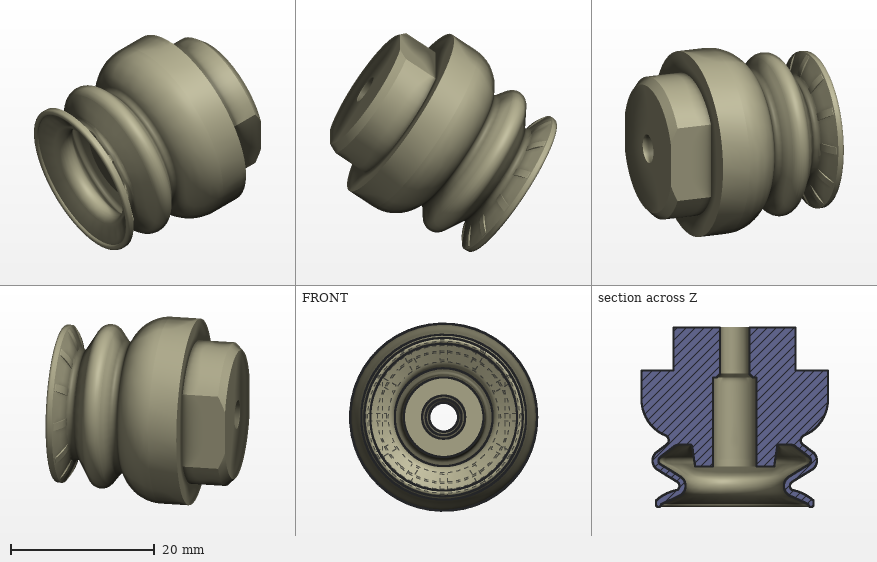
import cadquery as cq
import math


total_length = 25.0
body_back_y = 19.0
body_front_y = 15.0
body_radius = 13.0

boss_radius = 10.0
boss_chamfer = 1.0
wrench_width = 17.0

wall = 0.9
top_fold_round = 5.5
upper_groove_radius = 9.2
upper_groove_round = 0.7
middle_fold_radius = 11.46
middle_fold_round = 1.5
middle_fold_y = 6.47
lower_groove_radius = 7.7
lower_groove_round = 0.65
lower_groove_y = 2.95

lip_radius = 11.0
lip_edge_height = 0.95
rim_round = 0.4

rib_count = 12
rib_width = 1.05
rib_inner_point = (7.85, 2.47)
rib_crest_point = (9.63, 1.86)
rib_outer_point = (10.75, 1.13)
rib_root_depth = 0.3

cavity_floor_y = 8.7
floor_corner_round = 1.45

nozzle_y = 5.65
nozzle_tip_radius = 5.53
nozzle_base_radius = 5.9
nozzle_base_fillet = 0.47
bore_radius = 3.0
bore_floor_y = 18.0
bore_chamfer = 0.5
through_hole_radius = 2.0

top_fold_center = (body_radius - top_fold_round, body_front_y)
upper_groove_center_radius = upper_groove_radius + upper_groove_round
upper_groove_center = (
    upper_groove_center_radius,
    body_front_y - math.sqrt((top_fold_round + upper_groove_round) ** 2
                             - (upper_groove_center_radius - top_fold_center[0]) ** 2),
)
middle_fold_center = (middle_fold_radius - middle_fold_round, middle_fold_y)
lower_groove_center = (lower_groove_radius + lower_groove_round, lower_groove_y)

rim_crest = (lip_radius - rim_round, 0)
rim_inner_edge = (lip_radius - 2 * rim_round, rim_round)


def polar(center, radius, angle):
    """Point at the given angle on a circle."""
    return (center[0] + radius * math.cos(angle), center[1] + radius * math.sin(angle))


def direction(start, end):
    """Angle of the line from start to end."""
    return math.atan2(end[1] - start[1], end[0] - start[0])


def cross_tangent(center_a, radius_a, center_b, radius_b, side):
    """Ends of the line that touches two circles and crosses between them."""
    spread = math.acos((radius_a + radius_b) / math.dist(center_a, center_b))
    angle = direction(center_a, center_b) + side * spread
    return polar(center_a, radius_a, angle), polar(center_b, radius_b, angle + math.pi)


def point_tangent(point, center, radius):
    """Where a line from an outside point touches a circle, on its clockwise side."""
    spread = math.acos(radius / math.dist(point, center))
    return polar(center, radius, direction(center, point) - spread)


def arc_to(sketch, start, end, center, radius):
    """Add the short arc of a circle from start to end."""
    middle = ((start[0] + end[0]) / 2, (start[1] + end[1]) / 2)
    return sketch.threePointArc(polar(center, radius, direction(center, middle)), end)


def revolve(sketch):
    """Close a half profile and turn it about the Y axis."""
    return sketch.close().revolve(360, (0, 0, 0), (0, 1, 0))


def add_outer_skin(sketch):
    """Continue from the body front over the outer folds to the edge of the rim."""
    body_front = (body_radius, body_front_y)
    lip_back = (lip_radius, lip_edge_height)
    top_end = polar(top_fold_center, top_fold_round,
                    direction(top_fold_center, upper_groove_center))
    upper_end, middle_start = cross_tangent(
        upper_groove_center, upper_groove_round, middle_fold_center, middle_fold_round, -1)
    middle_end, lower_start = cross_tangent(
        middle_fold_center, middle_fold_round, lower_groove_center, lower_groove_round, 1)
    lower_end = point_tangent(lip_back, lower_groove_center, lower_groove_round)

    sketch = arc_to(sketch, body_front, top_end, top_fold_center, top_fold_round)
    sketch = arc_to(sketch, top_end, upper_end, upper_groove_center, upper_groove_round)
    sketch = sketch.lineTo(*middle_start)
    sketch = arc_to(sketch, middle_start, middle_end, middle_fold_center, middle_fold_round)
    sketch = sketch.lineTo(*lower_start)
    sketch = arc_to(sketch, lower_start, lower_end, lower_groove_center, lower_groove_round)
    return sketch.lineTo(*lip_back).lineTo(lip_radius, rim_round)


def add_inner_skin(sketch):
    """Continue from the inner edge of the rim to the floor of the cavity.

    The skin runs parallel to the outer one, so each groove round grows by
    the wall thickness and the fold round shrinks by it.
    """
    throat_round = lower_groove_round + wall
    fold_round = middle_fold_round - wall
    throat_start = point_tangent(rim_inner_edge, lower_groove_center, throat_round)
    fold_start, throat_end = cross_tangent(
        middle_fold_center, fold_round, lower_groove_center, throat_round, 1)
    fold_end = cross_tangent(
        middle_fold_center, fold_round, upper_groove_center, upper_groove_round + wall, -1)[0]

    cone_normal = direction(middle_fold_center, fold_end)
    near_center = polar(middle_fold_center, fold_round - floor_corner_round, cone_normal)
    corner_y = cavity_floor_y - floor_corner_round
    cone_run = (corner_y - near_center[1]) / math.cos(cone_normal)
    corner_center = (near_center[0] - cone_run * math.sin(cone_normal), corner_y)
    corner_start = polar(corner_center, floor_corner_round, cone_normal)
    corner_end = (corner_center[0], cavity_floor_y)

    sketch = sketch.lineTo(*throat_start)
    sketch = arc_to(sketch, throat_start, throat_end, lower_groove_center, throat_round)
    sketch = sketch.lineTo(*fold_start)
    sketch = arc_to(sketch, fold_start, fold_end, middle_fold_center, fold_round)
    sketch = sketch.lineTo(*corner_start)
    return arc_to(sketch, corner_start, corner_end, corner_center, floor_corner_round)


def add_nozzle(sketch):
    """Continue from the cavity floor up the tapered nozzle to its tip."""
    fillet_center = (
        nozzle_base_radius + nozzle_base_fillet,
        cavity_floor_y - nozzle_base_fillet,
    )
    fillet_start = (fillet_center[0], cavity_floor_y)
    fillet_end = (nozzle_base_radius, fillet_center[1])
    sketch = sketch.lineTo(*fillet_start)
    sketch = arc_to(sketch, fillet_start, fillet_end, fillet_center, nozzle_base_fillet)
    return sketch.lineTo(nozzle_tip_radius, nozzle_y)


def cup_body():
    """Boss, body, bellows and nozzle as one revolved section, without the bore."""
    sketch = (
        cq.Workplane("XY")
        .moveTo(0, total_length)
        .lineTo(boss_radius - boss_chamfer, total_length)
        .lineTo(boss_radius, total_length - boss_chamfer)
        .lineTo(boss_radius, body_back_y)
        .lineTo(body_radius, body_back_y)
        .lineTo(body_radius, body_front_y)
    )
    sketch = add_outer_skin(sketch)
    sketch = sketch.threePointArc(rim_crest, rim_inner_edge)
    sketch = add_inner_skin(sketch)
    sketch = add_nozzle(sketch)
    return revolve(sketch.lineTo(0, nozzle_y))


def stepped_bore():
    """Wide bore from the nozzle tip, a chamfered step and a through hole."""
    sketch = (
        cq.Workplane("XY")
        .moveTo(0, nozzle_y)
        .lineTo(bore_radius, nozzle_y)
        .lineTo(bore_radius, bore_floor_y)
        .lineTo(through_hole_radius + bore_chamfer, bore_floor_y)
        .lineTo(through_hole_radius, bore_floor_y + bore_chamfer)
        .lineTo(through_hole_radius, total_length)
        .lineTo(0, total_length)
    )
    return revolve(sketch)


def wrench_flats():
    """Two blocks that trim the boss to the wrench width."""
    block_thickness = boss_radius - wrench_width / 2
    block_length = total_length - body_back_y
    block_x = wrench_width / 2 + block_thickness / 2
    return (
        cq.Workplane("XY")
        .pushPoints([(block_x, 0), (-block_x, 0)])
        .box(block_thickness, block_length, 2 * boss_radius)
        .translate((0, body_back_y + block_length / 2, 0))
    )


def lip_ribs():
    """Radial ribs with an arched crest on the back of the lip."""
    rib = (
        cq.Workplane("XY")
        .moveTo(*rib_inner_point)
        .threePointArc(rib_crest_point, rib_outer_point)
        .lineTo(rib_outer_point[0], rib_outer_point[1] - rib_root_depth)
        .lineTo(rib_inner_point[0], rib_inner_point[1] - rib_root_depth)
        .close()
        .extrude(rib_width / 2, both=True)
    )
    return [
        rib.rotate((0, 0, 0), (0, 1, 0), index * 360 / rib_count)
        for index in range(rib_count)
    ]


result = cup_body().cut(stepped_bore()).cut(wrench_flats())
for lip_rib in lip_ribs():
    result = result.union(lip_rib)